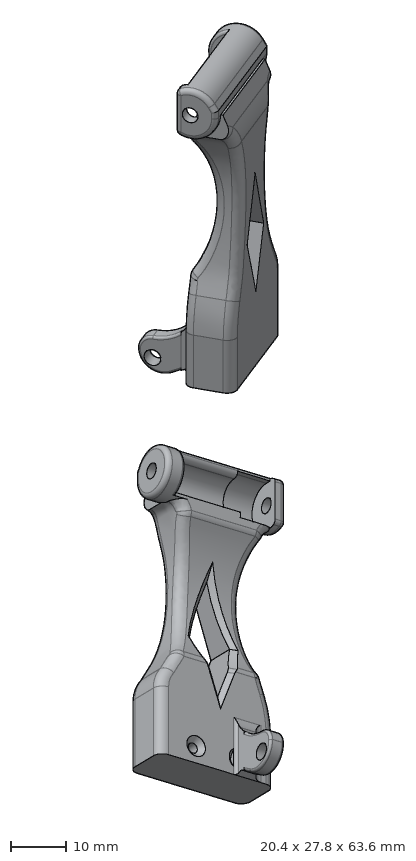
import cadquery as cq
import math


plate_depth = 9.75
plate_half_width = 12.8
edge_radius = 2.0
scoop_bottom_z = 21.3
scoop_top_z = 49.8
scoop_depth = 4.3
scoop_edge_radius = 2.1
back_slope = math.radians(23)
back_blend_radius = 10.3

left_shoulder_z = 13.6
left_flank = [(11.3, 17.9), (8.4, 23.0), (5.5, 37.5), (6.4, 45.4), (7.3, 48.6), (10.1, 52.1)]
left_flank_slope = (-0.5, 0.87)
left_flare_slope = (1, 0.15)
right_shoulder_z = 10.9
right_flank = [(-11.3, 18.3), (-9.6, 23.5), (-8.1, 37.0), (-9.5, 47.3), (-12.6, 52.0)]
right_flank_slope = (-0.35, -0.94)
right_flare_slope = (1, -0.7)

pivot_x = 2.05
pivot_z = 57.11
head_radius = 5.15
head_bottom_z = pivot_z - head_radius
head_y_min = -14.65
head_y_max = 13.16
head_end_radius = 1.0
head_flat_angle = math.radians(32)
pivot_hole_diameter = 3.0

opening_y_min = -12.32
opening_y_max = 9.28
bore_step_y = -5.15
bore_radius = 3.4
wide_bore_radius = 4.5
upper_lip_x = 0.85
upper_lip_radius = pivot_x - upper_lip_x
lower_lip_slope = math.radians(18)
near_lug_front_x = -0.75
far_lug_inner_radius = 0.6

window_corners = [(-1.16, 39.8), (3.44, 27.1), (-0.77, 15.2), (-5.46, 27.1)]
window_chamfer = 1.0

screw_spacing = 9.4
screw_z = 3.4
screw_diameter = 2.0
countersink_diameter = 4.1
countersink_depth = (countersink_diameter - screw_diameter) / 2
screw_depth = 6.0

lever_y_min = -7.43
lever_y_max = -4.28
lever_edge_radius = 0.5
lever_tip_x = -10.6
lever_bottom_z = -1.3
lever_tip_z = 3.2
lever_upper_radius = 2.85
lever_lower_radius = lever_tip_z - lever_bottom_z
lever_underside_angle = math.radians(27)
lever_hole_x = -7.78
lever_hole_z = 1.74
lever_hole_diameter = 3.2
rim_end_x = -1.1
root_neck_x = -1.2
root_neck_z = 9.1
root_top_z = 11.45
notch_x = -1.5
root_near_flare = 2.3
root_far_flare = 0.64

reach = 60.0


def box_between(x_range, y_range, z_range):
    size = [high - low for low, high in (x_range, y_range, z_range)]
    corner = [low for low, high in (x_range, y_range, z_range)]
    return cq.Workplane("XY").box(*size, centered=False).translate(tuple(corner))


def xz_plane():
    return cq.Workplane("XZ")


def prism_along_y(profile, y_min, y_max):
    """Extrude a profile drawn on an XZ workplane between two Y positions."""
    return profile.extrude(-(y_max - y_min)).translate((0, y_min, 0))


def make_arm_side():
    """Side profile of the arm, scoop included, extruded well past its flanks."""
    back_start_x = pivot_x + head_radius * math.cos(back_slope)
    back_start_z = pivot_z + head_radius * math.sin(back_slope)
    bend_z = back_start_z - (plate_depth - back_start_x) / math.tan(back_slope)
    blend_length = back_blend_radius * math.tan(back_slope / 2)
    blend_end_x = plate_depth - blend_length * math.sin(back_slope)
    blend_end_z = bend_z + blend_length * math.cos(back_slope)
    side = (
        xz_plane()
        .moveTo(0, 0)
        .lineTo(plate_depth, 0)
        .lineTo(plate_depth, bend_z - blend_length)
        .tangentArcPoint((blend_end_x, blend_end_z), relative=False)
        .lineTo(back_start_x, back_start_z)
        .lineTo(pivot_x, pivot_z)
        .lineTo(0, pivot_z)
        .lineTo(0, scoop_top_z)
        .threePointArc((scoop_depth, (scoop_bottom_z + scoop_top_z) / 2), (0, scoop_bottom_z))
        .close()
    )
    side = prism_along_y(side, -reach, reach)
    for z in (scoop_bottom_z, scoop_top_z):
        side = side.edges(cq.selectors.NearestToPointSelector((0, 0, z))).fillet(scoop_edge_radius)
    return side


def make_arm():
    outline = (
        cq.Workplane("YZ")
        .moveTo(-plate_half_width, 0)
        .lineTo(plate_half_width, 0)
        .lineTo(plate_half_width, left_shoulder_z)
        .tangentArcPoint(left_flank[0], relative=False)
        .spline(left_flank[1:], tangents=[left_flank_slope, left_flare_slope], includeCurrent=True)
        .lineTo(left_flank[-1][0], pivot_z)
        .lineTo(right_flank[-1][0], pivot_z)
        .lineTo(*right_flank[-1])
        .spline(right_flank[-2::-1], tangents=[right_flare_slope, right_flank_slope], includeCurrent=True)
        .tangentArcPoint((-plate_half_width, right_shoulder_z), relative=False)
        .close()
        .extrude(plate_depth)
    )
    arm = make_arm_side().intersect(outline)
    long_edges = arm.edges("not(|Y or |X)")
    long_edges = long_edges.filter(lambda edge: edge.BoundingBox().zmin < head_bottom_z)
    return long_edges.fillet(edge_radius)


def window_bevel_side(start, end, front_air):
    """Space in front of a 45 degree bevel that follows the scooped front along one window side."""
    side = cq.Vector(0, end[0] - start[0], end[1] - start[1]).normalized()
    outward = cq.Vector(1, 0, 0).cross(side)
    wall = cq.Face.makePlane(2 * reach, 2 * reach, cq.Vector(0, *start), outward)
    section = wall.intersect(front_air.val()).Faces()[0]
    slant = (outward - cq.Vector(1, 0, 0)) * window_chamfer
    inward_steps = 15
    outward_steps = 3
    start_face = section.translate(slant * -inward_steps)
    return cq.Workplane(cq.Solid.extrudeLinear(start_face, slant * (inward_steps + outward_steps)))


def cut_window(arm):
    window = cq.Workplane("YZ").polyline(window_corners).close().extrude(plate_depth)
    air_block = box_between((-reach, plate_depth / 2), (-reach / 2, reach / 2), (1, scoop_top_z + 1))
    front_air = air_block.cut(make_arm_side()).translate((window_chamfer, 0, 0))
    next_corners = window_corners[1:] + window_corners[:1]
    bevel = None
    for start, end in zip(window_corners, next_corners):
        bevel_side = window_bevel_side(start, end, front_air)
        bevel = bevel.intersect(bevel_side) if bevel else bevel_side
    return arm.cut(window).cut(bevel)


def cut_screw_holes(arm):
    inward = cq.Vector(1, 0, 0)
    for y in (-screw_spacing / 2, screw_spacing / 2):
        center = cq.Vector(0, y, screw_z)
        hole = cq.Solid.makeCylinder(screw_diameter / 2, screw_depth, center, inward)
        sink = cq.Solid.makeCone(
            countersink_diameter / 2, screw_diameter / 2, countersink_depth, center, inward
        )
        arm = arm.cut(hole).cut(sink)
    return arm


def make_head():
    barrel = prism_along_y(
        xz_plane().center(pivot_x, pivot_z).circle(head_radius), head_y_min, head_y_max
    )
    tangent_x = head_radius * math.cos(head_flat_angle)
    tangent_z = head_radius * math.sin(head_flat_angle)
    corner_z = tangent_z - (head_radius - tangent_x) / math.tan(head_flat_angle)
    back = prism_along_y(
        xz_plane()
        .center(pivot_x, pivot_z)
        .polyline([(0, 0), (head_radius, 0), (head_radius, corner_z), (tangent_x, tangent_z)])
        .close(),
        head_y_min,
        head_y_max,
    )
    head = barrel.union(back)
    head = head.cut(box_between((-reach, near_lug_front_x), (-reach, opening_y_max), (0, 2 * reach)))
    long_edges = head.edges("|Y")
    lug_edges = long_edges.filter(lambda edge: abs(edge.Center().x - near_lug_front_x) < 0.01)
    end_edges = head.faces("<Y or >Y").edges()
    head = end_edges.add(lug_edges).fillet(head_end_radius)

    opening_y = (opening_y_min, opening_y_max)
    head = head.cut(box_between((-reach, upper_lip_x), opening_y, (pivot_z, 2 * reach)))
    head = head.cut(box_between((-reach, 0), opening_y, (0, pivot_z)))
    far_lug_rim = cq.selectors.NearestToPointSelector((pivot_x - head_radius, opening_y_max, pivot_z))
    return head.edges(far_lug_rim).fillet(far_lug_inner_radius)


def bore_tool(radius, y_min, y_max, rounded_lip):
    """Bore on the pivot axis that opens toward -X over a sloping lower lip."""
    lower_drop = reach * math.tan(lower_lip_slope)
    outline = xz_plane().center(pivot_x, pivot_z).moveTo(0, -radius)
    outline = outline.threePointArc((radius, 0), (0, radius))
    if rounded_lip:
        outline = outline.radiusArc((-upper_lip_radius, radius + upper_lip_radius), upper_lip_radius)
        outline = outline.lineTo(-reach, radius + upper_lip_radius)
    else:
        outline = outline.lineTo(-reach, radius)
    outline = outline.lineTo(-reach, -radius - lower_drop).close()
    return prism_along_y(outline, y_min, y_max)


def pin_hole(x, z, diameter):
    return prism_along_y(xz_plane().center(x, z).circle(diameter / 2), -reach, reach)


def make_lever():
    upper_x = lever_tip_x + lever_upper_radius
    upper_z = lever_tip_z + lever_upper_radius
    lower_x = lever_tip_x + lever_lower_radius
    end_x = lower_x + lever_lower_radius * math.sin(lever_underside_angle)
    end_z = lever_tip_z - lever_lower_radius * math.cos(lever_underside_angle)
    notch_z = end_z + (notch_x - end_x) * math.tan(lever_underside_angle)
    outline = (
        xz_plane()
        .moveTo(edge_radius, root_top_z)
        .lineTo(edge_radius, 0)
        .lineTo(0, 0)
        .lineTo(notch_x, notch_z)
        .lineTo(end_x, end_z)
        .tangentArcPoint((lever_tip_x, lever_tip_z), relative=False)
        .tangentArcPoint((upper_x, upper_z), relative=False)
        .tangentArcPoint((root_neck_x, root_neck_z), relative=False)
        .tangentArcPoint((0, root_top_z), relative=False)
        .close()
    )
    profile = prism_along_y(outline, lever_y_min - root_near_flare, lever_y_max + root_far_flare)
    blade = profile.intersect(
        box_between((-reach, reach), (lever_y_min, lever_y_max), (-reach, reach))
    )
    root = (
        cq.Workplane("XY")
        .moveTo(edge_radius, lever_y_min - root_near_flare)
        .lineTo(0, lever_y_min - root_near_flare)
        .radiusArc((-root_near_flare, lever_y_min), -root_near_flare)
        .lineTo(-root_near_flare, lever_y_max)
        .lineTo(-root_far_flare, lever_y_max)
        .radiusArc((0, lever_y_max + root_far_flare), -root_far_flare)
        .lineTo(edge_radius, lever_y_max + root_far_flare)
        .close()
        .extrude(root_top_z)
    )
    root = root.intersect(profile)
    rims = blade.faces("<Y or >Y").edges()
    rims = rims.filter(lambda edge: edge.BoundingBox().xmax < rim_end_x)
    return rims.fillet(lever_edge_radius).union(root)


result = make_arm()
result = cut_window(result)
result = cut_screw_holes(result)
result = result.union(make_head())
result = result.cut(bore_tool(bore_radius, bore_step_y, opening_y_max, True))
result = result.cut(bore_tool(wide_bore_radius, opening_y_min, bore_step_y, False))
result = result.union(make_lever())
result = result.cut(pin_hole(pivot_x, pivot_z, pivot_hole_diameter))
result = result.cut(pin_hole(lever_hole_x, lever_hole_z, lever_hole_diameter))